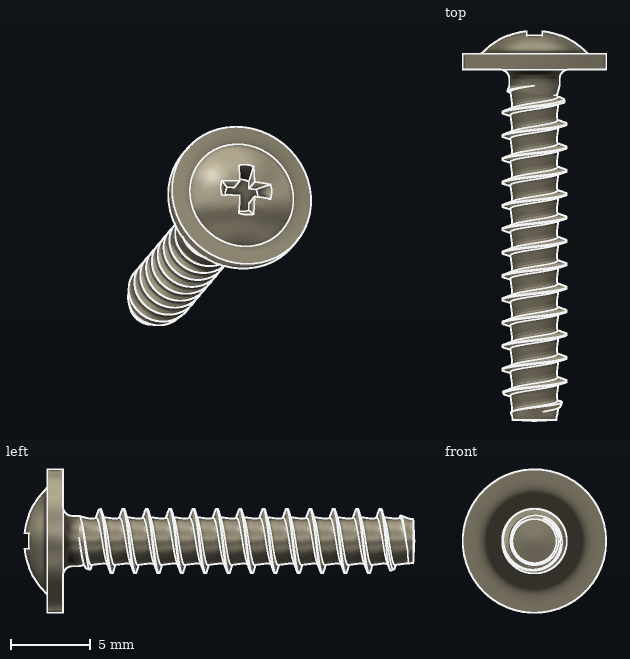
import cadquery as cq
import math


length = 22.0
collar_diameter = 9.0
collar_thickness = 1.0
dome_diameter = 6.7
head_height = 2.42

slot_width = 0.95
recess_radius = 1.8
recess_depth = 1.5
recess_half_angle = 26.5

neck_radius = 1.585
neck_length = 1.0
neck_fillet = 0.57
neck_cone_length = 0.6
core_radius = 1.42
tip_radius = 1.38
tip_cone_length = 0.5
tip_point_height = 0.07

crest_radius = 2.03
pitch = 1.463
crest_depth = 1.945
thread_turns = 14
crest_width = 0.06
land_radius = 1.51
upper_base_radius = 1.45
upper_base = 0.23
relief_start = 0.5
lower_base = 0.17
land_end = 0.92
edge_overlap = 0.01
root_overlap = 0.1

tip_runout_start = 0.25
tip_runout_end = 2.1
head_runout_end = 2.6
crest_clearance = 0.06

neck_bottom = length - neck_length
dome_base = length + collar_thickness
corner_radius = slot_width / math.sqrt(2)
dome_base_radius = dome_diameter / 2
visible_dome = head_height - collar_thickness
centre_drop = (dome_base_radius**2 - corner_radius**2 - visible_dome**2) / (2 * visible_dome)
dome_radius = math.hypot(dome_base_radius, centre_drop)
dome_centre = dome_base - centre_drop
dome_apex = dome_centre + dome_radius


def make_body():
    """Head, neck and core as one revolved outline."""
    fillet_sweep = neck_fillet * math.sqrt(0.5)
    fillet_centre = (neck_radius + neck_fillet, length - neck_fillet)
    half_angle = math.asin(dome_base_radius / dome_radius) / 2
    dome_middle = (dome_radius * math.sin(half_angle), dome_centre + dome_radius * math.cos(half_angle))
    outline = (
        cq.Workplane("XZ")
        .moveTo(0, 0)
        .lineTo(tip_radius, tip_point_height)
        .lineTo(core_radius, tip_point_height + tip_cone_length)
        .lineTo(core_radius, neck_bottom - neck_cone_length)
        .lineTo(neck_radius, neck_bottom)
        .lineTo(neck_radius, length - neck_fillet)
        .threePointArc(
            (fillet_centre[0] - fillet_sweep, fillet_centre[1] + fillet_sweep),
            (fillet_centre[0], length),
        )
        .lineTo(collar_diameter / 2, length)
        .lineTo(collar_diameter / 2, dome_base)
        .lineTo(dome_base_radius, dome_base)
        .threePointArc(dome_middle, (0, dome_apex))
        .close()
    )
    return outline.revolve(360, (0, 0, 0), (0, 1, 0))


def make_recess():
    """Crossed slots whose wings taper inwards towards the floor."""
    floor_radius = recess_radius - recess_depth * math.tan(math.radians(recess_half_angle))
    floor = dome_apex - recess_depth
    slot_length = 2 * recess_radius
    slots = (
        cq.Workplane("XY", origin=(0, 0, floor))
        .rect(slot_length, slot_width)
        .extrude(recess_depth)
        .union(
            cq.Workplane("XY", origin=(0, 0, floor))
            .rect(slot_width, slot_length)
            .extrude(recess_depth)
        )
    )
    taper = cq.Workplane(
        obj=cq.Solid.makeCone(floor_radius, recess_radius, recess_depth, pnt=cq.Vector(0, 0, floor))
    )
    return slots.intersect(taper)


def make_thread():
    """Helical ridge, with the sloping land beside it, trimmed by the run-out cones."""
    start = length - crest_depth - thread_turns * pitch
    helix_height = (thread_turns + 1) * pitch
    helix = cq.Wire.makeHelix(pitch, helix_height, core_radius, center=cq.Vector(0, 0, start))
    edge = core_radius - edge_overlap
    root = core_radius - root_overlap
    profile = cq.Workplane("XZ").polyline([
        (root, start + relief_start),
        (edge, start + relief_start),
        (upper_base_radius, start + upper_base),
        (crest_radius, start + crest_width / 2),
        (crest_radius, start - crest_width / 2),
        (land_radius, start - lower_base),
        (edge, start - land_end),
        (root, start - land_end),
    ]).close()
    ridge = profile.sweep(cq.Workplane(obj=helix), isFrenet=True)
    envelope = (
        cq.Workplane("XZ")
        .polyline([
            (0, tip_runout_start),
            (tip_radius, tip_runout_start),
            (crest_radius + crest_clearance, tip_runout_end),
            (crest_radius + crest_clearance, length - head_runout_end),
            (neck_radius, neck_bottom),
            (0, neck_bottom),
        ])
        .close()
        .revolve(360, (0, 0, 0), (0, 1, 0))
    )
    return ridge.intersect(envelope)


screw = make_body().cut(make_recess()).union(make_thread())
result = screw.rotate((0, 0, 0), (1, 0, 0), -90).translate((0, -length, 0))